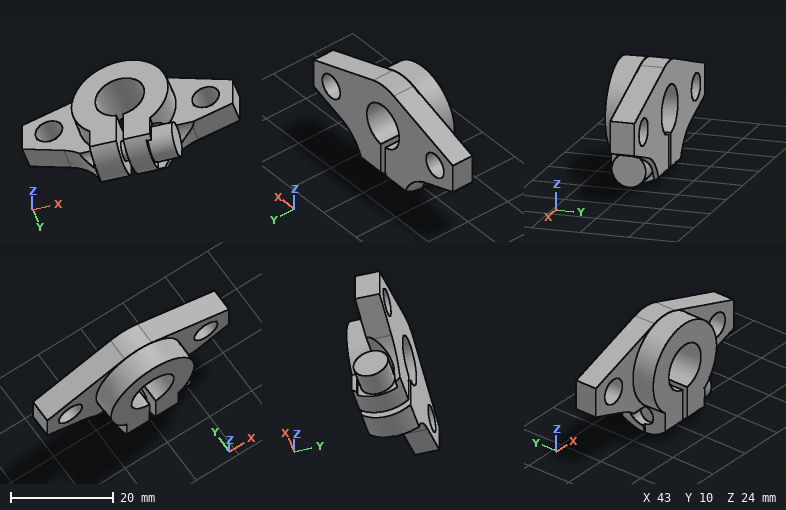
import cadquery as cq
import math

flange_length = 43.0
flange_thickness = 5.0
flange_end_height = 6.6
crown_radius = 10.0
ear_hole_spacing = 32.0
ear_hole_diameter = 5.5

boss_base_radius = 9.95
boss_length = 5.0
boss_draft = 1.0
bore_diameter = 10.0

lug_width = 12.3
lug_drop = 14.0
lug_round_rise = 2.0
lug_fillet_radius = 10.0
slot_width = 1.4

screw_drop = 10.0
screw_diameter = 4.0
head_diameter = 7.0
head_length = 5.0
counterbore_diameter = 8.0
counterbore_seat_x = 5.15
screw_length = 10.2

half_length = flange_length / 2
half_end = flange_end_height / 2
half_lug = lug_width / 2
bore_radius = bore_diameter / 2

corner_distance = math.hypot(half_length, half_end)
slope = math.asin(crown_radius / corner_distance) - math.atan2(half_end, half_length)


def extrude_along_y(sketch, y_start, y_end):
    """Extrude an XZ outline from y_start to y_end."""
    return sketch.extrude(y_start - y_end).translate((0, y_start, 0))


def x_cylinder(diameter, x_start, x_end):
    """Cylinder on the screw axis between two X positions."""
    circle = cq.Workplane("YZ", origin=(x_start, 0, -screw_drop)).circle(diameter / 2)
    return circle.extrude(x_end - x_start)


def make_flange():
    """Flange plate with a rounded crown and concave fillets running down into the lug."""
    crown_x = crown_radius * math.sin(slope)
    crown_z = crown_radius * math.cos(slope)

    center_x = half_lug + lug_fillet_radius
    tangent_x = center_x - lug_fillet_radius * math.sin(slope)
    tangent_z = -half_end - (half_length - tangent_x) * math.tan(slope)
    center_z = tangent_z - lug_fillet_radius * math.cos(slope)

    end_angle = math.asin((-lug_drop - center_z) / lug_fillet_radius)
    foot_x = center_x - lug_fillet_radius * math.cos(end_angle)
    mid_angle = (end_angle + math.pi / 2 - slope) / 2
    mid_x = center_x - lug_fillet_radius * math.cos(mid_angle)
    mid_z = center_z + lug_fillet_radius * math.sin(mid_angle)

    outline = (
        cq.Workplane("XZ")
        .moveTo(-crown_x, crown_z)
        .threePointArc((0, crown_radius), (crown_x, crown_z))
        .lineTo(half_length, half_end)
        .lineTo(half_length, -half_end)
        .lineTo(tangent_x, tangent_z)
        .threePointArc((mid_x, mid_z), (foot_x, -lug_drop))
        .lineTo(-foot_x, -lug_drop)
        .threePointArc((-mid_x, mid_z), (-tangent_x, tangent_z))
        .lineTo(-half_length, -half_end)
        .lineTo(-half_length, half_end)
        .close()
    )
    return extrude_along_y(outline, 0, flange_thickness)


def make_boss():
    """Slightly conical boss in front of the flange, with the front half of the lug."""
    cone = cq.Workplane("XZ").circle(boss_base_radius).extrude(boss_length, taper=boss_draft)
    lug = (
        cq.Workplane("XZ")
        .moveTo(0, -lug_drop / 2)
        .rect(lug_width, lug_drop)
        .extrude(boss_length)
    )
    return cone.union(lug)


def round_lug_end(body):
    """Trim the bottom of the lug to an arc across its thickness."""
    shoulder_z = lug_round_rise - lug_drop
    envelope = (
        cq.Workplane("YZ")
        .moveTo(-boss_length, crown_radius)
        .lineTo(-boss_length, shoulder_z)
        .threePointArc((0, -lug_drop), (flange_thickness, shoulder_z))
        .lineTo(flange_thickness, crown_radius)
        .close()
        .extrude(half_length, both=True)
    )
    return body.intersect(envelope)


def cut_shaft_clamp(body):
    """Cut the shaft bore and the slot that splits the lug below it."""
    bore = extrude_along_y(cq.Workplane("XZ").circle(bore_radius), -boss_length, flange_thickness)
    slot = extrude_along_y(
        cq.Workplane("XZ").moveTo(0, -lug_drop / 2).rect(slot_width, lug_drop),
        -boss_length,
        flange_thickness,
    )
    return body.cut(bore).cut(slot)


def cut_ear_holes(body):
    """Cut one mounting hole in each end of the flange."""
    for side in (-1, 1):
        circle = cq.Workplane("XZ").moveTo(side * ear_hole_spacing / 2, 0).circle(ear_hole_diameter / 2)
        body = body.cut(extrude_along_y(circle, 0, flange_thickness))
    return body


def fit_clamp_screw(body):
    """Cut the screw's hole and its counterbore, open at the bottom, then add the screw itself."""
    body = body.cut(x_cylinder(screw_diameter, -half_length, half_length))
    body = body.cut(x_cylinder(counterbore_diameter, counterbore_seat_x, half_length))
    counterbore_mouth = (
        cq.Workplane("YZ", origin=(counterbore_seat_x, 0, -(screw_drop + lug_drop) / 2))
        .rect(counterbore_diameter, lug_drop - screw_drop)
        .extrude(half_length - counterbore_seat_x)
    )
    body = body.cut(counterbore_mouth)
    shank = x_cylinder(screw_diameter, counterbore_seat_x - screw_length, counterbore_seat_x)
    head = x_cylinder(head_diameter, counterbore_seat_x, counterbore_seat_x + head_length)
    return body.union(shank.union(head))


result = make_flange().union(make_boss())
result = round_lug_end(result)
result = cut_shaft_clamp(result)
result = cut_ear_holes(result)
result = fit_clamp_screw(result)